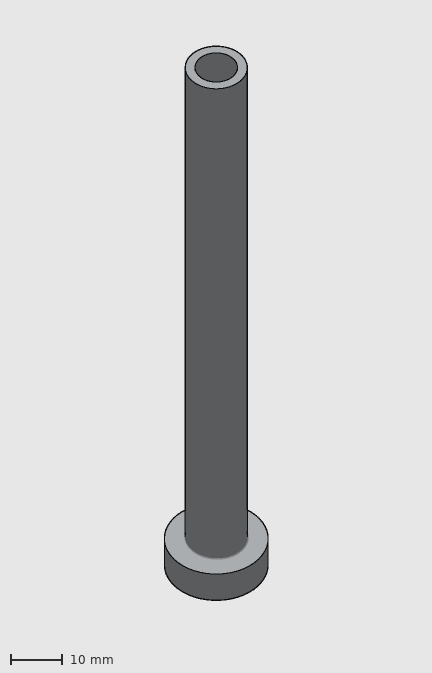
import cadquery as cq

total_length = 132.0
head_diameter = 20.0
head_height = 7.0
shank_diameter = 12.0
bore_diameter = 8.2
root_fillet = 0.7

head_radius = head_diameter / 2
shank_radius = shank_diameter / 2
bore_radius = bore_diameter / 2

half_section = (
    cq.Workplane("XZ")
    .moveTo(bore_radius, 0)
    .lineTo(head_radius, 0)
    .lineTo(head_radius, head_height)
    .lineTo(shank_radius + root_fillet, head_height)
    .radiusArc((shank_radius, head_height + root_fillet), root_fillet)
    .lineTo(shank_radius, total_length)
    .lineTo(bore_radius, total_length)
    .close()
)

result = half_section.revolve(360, (0, 0, 0), (0, 1, 0))